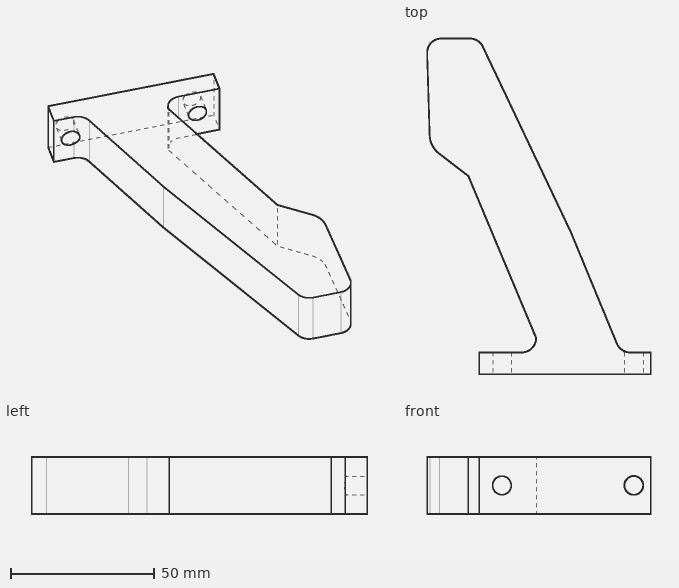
import cadquery as cq
import math

thickness = 20.0
total_length = 117.23

root_radius = 5.0
head_radius = 5.0
lower_head_radius = 8.5

foot_width = 60.0
foot_depth = 7.7

hole_diameter = 6.5
hole_depth = foot_depth + root_radius
left_hole_x = 8.0
hole_spacing = 46.0
right_hole_x = left_hole_x + hole_spacing

arm_left_root_x = 19.9
arm_right_root = (49.4, foot_depth)
arm_right_bend = (32.1, 49.6)
head_upper_right = (0.0, total_length)
head_upper_left = (-18.3, total_length)
head_lower_left = (-17.15, 79.5)
arm_neck = (-3.75, 69.2)

roundings = [
    (arm_right_root, root_radius),
    (head_upper_right, head_radius),
    (head_upper_left, head_radius),
    (head_lower_left, lower_head_radius),
]


def make_body():
    """Foot and arm as one prism; only the quarter round at the left root is already curved."""
    round_center = (arm_left_root_x - root_radius, foot_depth + root_radius)
    diagonal_reach = root_radius * math.sqrt(0.5)
    round_start = (arm_left_root_x, round_center[1])
    round_middle = (round_center[0] + diagonal_reach, round_center[1] - diagonal_reach)
    round_end = (round_center[0], foot_depth)
    outline = [
        (0, foot_depth),
        (0, 0),
        (foot_width, 0),
        (foot_width, foot_depth),
        arm_right_root,
        arm_right_bend,
        head_upper_right,
        head_upper_left,
        head_lower_left,
        arm_neck,
        round_start,
    ]
    return (
        cq.Workplane("XY")
        .polyline(outline)
        .threePointArc(round_middle, round_end)
        .close()
        .extrude(thickness)
    )


def round_corner(body, corner, radius):
    """Fillet the upright edge that stands on the given profile corner."""
    edge_middle = (corner[0], corner[1], thickness / 2)
    return body.edges(cq.selectors.NearestToPointSelector(edge_middle)).fillet(radius)


def drill_foot(body):
    """Drill both screw holes along Y through the foot and the root round behind it."""
    hole_centers = [(x, thickness / 2) for x in (left_hole_x, right_hole_x)]
    drills = (
        cq.Workplane("XZ")
        .pushPoints(hole_centers)
        .circle(hole_diameter / 2)
        .extrude(-hole_depth)
    )
    return body.cut(drills)


result = make_body()
for corner, radius in roundings:
    result = round_corner(result, corner, radius)
result = drill_foot(result)